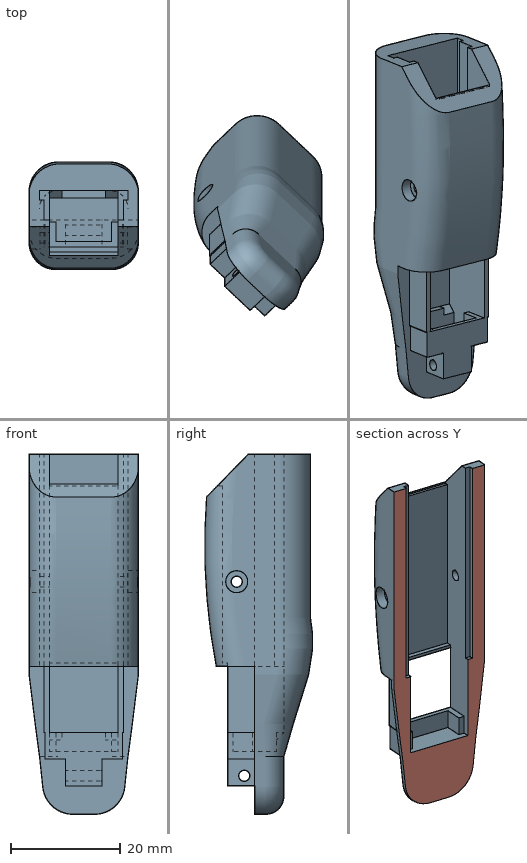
import cadquery as cq

total_height = 65.8
half_width = 10.0
mid_plane = -0.7
skirt_bottom = 27.05
back_y = 9.5
back_radius = 5.6
front_radius = 5.0
bow_top = (-8.7, total_height)
bow_middle = (-9.9, 48.7)
bow_bottom = (-7.75, skirt_bottom)
chamfer_start_y = -1.9
chamfer_end = (-9.6, 57.9)

taper_top = 25.5
tip_height = 10.5
tip_half_width = 8.1
tip_back_y = 4.6
tip_radius = 3.3
round_start = 4.95
round_half_width = 7.5
end_flat_half_width = 2.25
end_bulge_point = (5.85, 1.6)

box_half_width = 7.25
box_lower_half_width = 7.05
box_front = -5.65
box_bottom = 10.15
lug_half_width = 3.3
lug_bottom = 5.2
pin_diameter = 2.0
pin_y = -2.6
pin_z = 7.05

cavity_half_width = 6.25
cavity_back = 4.6
cavity_front = -6.65
mouth_front = -7.25
mouth_step_z = 60.0
skirt_floor = 27.65
window_bottom = 14.95
groove_half_width = 7.25
back_groove_half_width = 8.1
back_groove_front = 2.9
pocket_floor = 11.5
pocket_front = -4.7
pocket_back = 3.3
pocket_step_y = -1.1
pocket_half_width = 5.05
ledge_half_width = 3.95

screw_diameter = 2.0
counterbore_diameter = 4.0
counterbore_depth = 2.0
screw_y = -4.0
screw_z = 42.5


def block(half_x, y_front, y_back, z_low, z_high):
    """Box centred on X = 0."""
    return cq.Workplane("XY").box(
        2 * half_x, y_back - y_front, z_high - z_low, centered=(True, False, False)
    ).translate((0, y_front, z_low))


def side_pin(diameter, y, z, x_start=-half_width, length=2 * half_width):
    """Cylinder running along X."""
    return cq.Workplane("YZ", origin=(x_start, y, z)).circle(diameter / 2).extrude(length)


def back_section(z, half_x, y_back, radius):
    """Horizontal section with a flat front and two rounded back corners."""
    diagonal = radius * (1 - 0.5 ** 0.5)
    return (
        cq.Workplane("XY", origin=(0, 0, z))
        .moveTo(-half_x, mid_plane)
        .lineTo(half_x, mid_plane)
        .lineTo(half_x, y_back - radius)
        .threePointArc((half_x - diagonal, y_back - diagonal), (half_x - radius, y_back))
        .lineTo(-half_x + radius, y_back)
        .threePointArc((-half_x + diagonal, y_back - diagonal), (-half_x, y_back - radius))
        .close()
        .wire()
        .val()
    )


def make_back():
    """Straight upper back, slight bulge, then a slope into the tongue."""
    sections = [
        back_section(total_height, half_width, back_y, back_radius),
        back_section(35.85, half_width, back_y, back_radius),
        back_section(32.9, half_width, 9.9, 5.6),
        back_section(30.3, half_width, 9.9, 5.45),
        back_section(taper_top, half_width, 9.15, 5.6),
        back_section(16.45, 8.9, 6.3, 5.4),
        back_section(tip_height, tip_half_width, tip_back_y, tip_radius),
    ]
    return cq.Workplane(cq.Solid.makeLoft(sections, True))


def make_tip():
    """Rounded tongue end with a full-length rounded back edge."""
    bulge_x, bulge_z = end_bulge_point
    tip = (
        cq.Workplane("XZ", origin=(0, mid_plane, 0))
        .moveTo(-tip_half_width, tip_height)
        .lineTo(-round_half_width, round_start)
        .threePointArc((-bulge_x, bulge_z), (-end_flat_half_width, 0))
        .lineTo(end_flat_half_width, 0)
        .threePointArc((bulge_x, bulge_z), (round_half_width, round_start))
        .lineTo(tip_half_width, tip_height)
        .close()
        .extrude(-(tip_back_y - mid_plane))
    )
    back_edges = tip.faces(">Y").edges("not >Z")
    return back_edges.fillet(tip_radius)


def make_front():
    """Bowed front wall with rounded corners and a sloping top."""
    wall = (
        cq.Workplane("YZ")
        .moveTo(mid_plane, skirt_bottom)
        .lineTo(*bow_bottom)
        .threePointArc(bow_middle, bow_top)
        .lineTo(mid_plane, total_height)
        .close()
        .extrude(half_width, both=True)
    )
    wall = wall.faces("<Y").edges("not |X").fillet(front_radius)
    slope = (total_height - chamfer_end[1]) / (chamfer_start_y - chamfer_end[0])
    cut_y = bow_middle[0] - 0.65
    chamfer = (
        cq.Workplane("YZ")
        .moveTo(chamfer_start_y, total_height)
        .lineTo(cut_y, total_height)
        .lineTo(cut_y, total_height - slope * (chamfer_start_y - cut_y))
        .close()
        .extrude(half_width, both=True)
    )
    return wall.cut(chamfer)


def make_box():
    box = block(box_half_width, box_front, mid_plane, window_bottom, skirt_floor)
    lower = block(box_lower_half_width, box_front, mid_plane, box_bottom, window_bottom)
    lug = block(lug_half_width, box_front, mid_plane, lug_bottom, box_bottom)
    return box.union(lower).union(lug)


def make_cavity():
    """Open channel from the mouth down to the window, with side grooves."""
    channel = block(cavity_half_width, cavity_front, cavity_back, skirt_floor, total_height)
    mouth = block(cavity_half_width, mouth_front, cavity_front, mouth_step_z, total_height)
    window = block(cavity_half_width, box_front, cavity_back, window_bottom, skirt_floor)
    side_groove = block(groove_half_width, mid_plane, back_groove_front, skirt_bottom, total_height)
    back_groove = block(
        back_groove_half_width, back_groove_front, cavity_back, skirt_bottom, total_height
    )
    return channel.union(mouth).union(window).union(side_groove).union(back_groove)


def make_pocket():
    """Stepped pocket below the window, with sloped corners on its back ledge."""
    wide = block(cavity_half_width, pocket_step_y, pocket_back, pocket_floor, window_bottom)
    narrow = block(pocket_half_width, pocket_front, pocket_step_y, pocket_floor, window_bottom)
    ramp = (
        cq.Workplane("YZ")
        .moveTo(pocket_back, window_bottom)
        .lineTo(cavity_back, window_bottom)
        .lineTo(pocket_back, window_bottom - (cavity_back - pocket_back))
        .close()
        .extrude(cavity_half_width, both=True)
    )
    ledge = block(ledge_half_width, pocket_back, cavity_back, pocket_floor, window_bottom)
    return wide.union(narrow).union(ramp.cut(ledge))


def make_screw_holes():
    holes = side_pin(screw_diameter, screw_y, screw_z)
    for x_start in (-half_width, half_width - counterbore_depth):
        holes = holes.union(
            side_pin(counterbore_diameter, screw_y, screw_z, x_start, counterbore_depth)
        )
    return holes


result = (
    make_back()
    .union(make_tip())
    .union(make_front())
    .union(make_box())
    .cut(make_cavity())
    .cut(make_pocket())
    .cut(make_screw_holes())
    .cut(side_pin(pin_diameter, pin_y, pin_z))
)